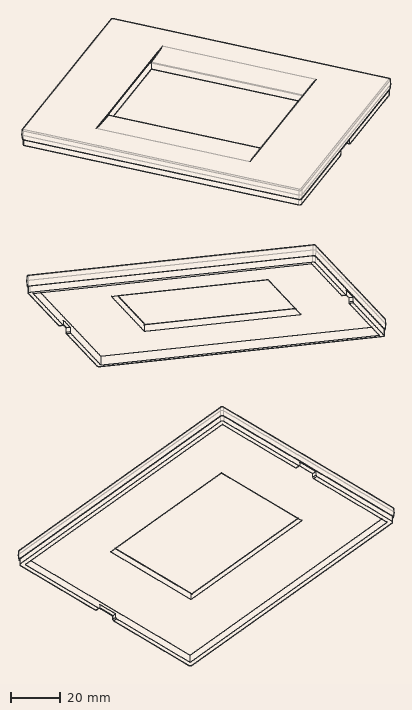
import cadquery as cq
import math

length = 123.2
width = 95.2
height = 7.5
ridge_z = 5.0
skirt_height = 2.7
upper_draft = 4.5
lower_draft = 7.0
corner_radius = 1.0
top_edge_fillet = 0.5

skirt_step = 0.18
skirt_wall = 1.8
plate_underside_z = 3.8

recess_length = 67.6
side_bevel_width = 0.31
side_bevel_depth = 0.1
recess_width = 69.7
opening_width = 44.5
strip_drop = 0.6
strip_edge_fillet = 0.2
wall_draft = 3.0

notch_width = 8.7
notch_height = 2.3
notch_chamfer = 0.5


def rounded_block(size_x, size_y, radius, base_z, rise, draft=0.0):
    """Round-cornered block; a positive draft narrows it along the extrusion."""
    outline = cq.Sketch().rect(size_x, size_y).vertices().fillet(radius)
    return cq.Workplane("XY", origin=(0, 0, base_z)).placeSketch(outline).extrude(rise, taper=draft)


def side_inset(rise, draft):
    return rise * math.tan(math.radians(draft))


def outer_body():
    lower_rise = ridge_z - skirt_height
    upper = rounded_block(length, width, corner_radius, ridge_z, height - ridge_z, upper_draft)
    upper = upper.faces(">Z").edges().fillet(top_edge_fillet)
    lower = rounded_block(length, width, corner_radius, ridge_z, -lower_rise, lower_draft)
    inset = 2 * (side_inset(lower_rise, lower_draft) + skirt_step)
    skirt = rounded_block(length - inset, width - inset, corner_radius, 0, skirt_height)
    return upper.union(lower).union(skirt)


def underside_hollow():
    inset = 2 * (side_inset(ridge_z - skirt_height, lower_draft) + skirt_step + skirt_wall)
    return cq.Workplane("XY").box(
        length - inset, width - inset, plate_underside_z, centered=(True, True, False)
    )


def opening_between_sides():
    """Space between the two short sides: bevelled at the top, then closing in downwards."""
    half_length = recess_length / 2
    half_throat = half_length - side_bevel_width
    half_bottom = half_throat - side_inset(height - side_bevel_depth, wall_draft)
    profile = [
        (-half_length, height),
        (-half_throat, height - side_bevel_depth),
        (-half_bottom, 0),
        (half_bottom, 0),
        (half_throat, height - side_bevel_depth),
        (half_length, height),
    ]
    return cq.Workplane("XZ").polyline(profile).close().extrude(recess_width / 2, both=True)


def opening_between_strips():
    """Space above the two sloping strips and between their edges, closing in downwards."""
    half_width = recess_width / 2
    half_opening = opening_width / 2
    half_bottom = half_opening - side_inset(height - strip_drop, wall_draft)
    floor_z = height - strip_drop
    profile = [
        (-half_width, height),
        (-half_opening, floor_z),
        (-half_bottom, 0),
        (half_bottom, 0),
        (half_opening, floor_z),
        (half_width, height),
    ]
    return cq.Workplane("YZ").polyline(profile).close().extrude(recess_length / 2, both=True)


def opening_with_strips():
    return opening_between_sides().intersect(opening_between_strips())


def cable_notch():
    half_width = notch_width / 2
    half_mouth = half_width + notch_chamfer
    profile = [
        (-half_mouth, 0),
        (-half_width, notch_chamfer),
        (-half_width, notch_height),
        (half_width, notch_height),
        (half_width, notch_chamfer),
        (half_mouth, 0),
    ]
    return cq.Workplane("YZ").polyline(profile).close().extrude(length / 2, both=True)


def rounded_strip_edges(plate):
    """Round the edge where each strip meets the opening."""
    edge_z = height - strip_drop
    half_reach = opening_width / 2 + strip_edge_fillet
    around_edges = cq.selectors.BoxSelector(
        (-recess_length / 2, -half_reach, edge_z - strip_edge_fillet),
        (recess_length / 2, half_reach, edge_z + strip_edge_fillet),
    )
    return plate.edges("|X").edges(around_edges).fillet(strip_edge_fillet)


frame = (
    outer_body()
    .cut(underside_hollow())
    .cut(opening_with_strips())
    .cut(cable_notch())
)
result = rounded_strip_edges(frame)